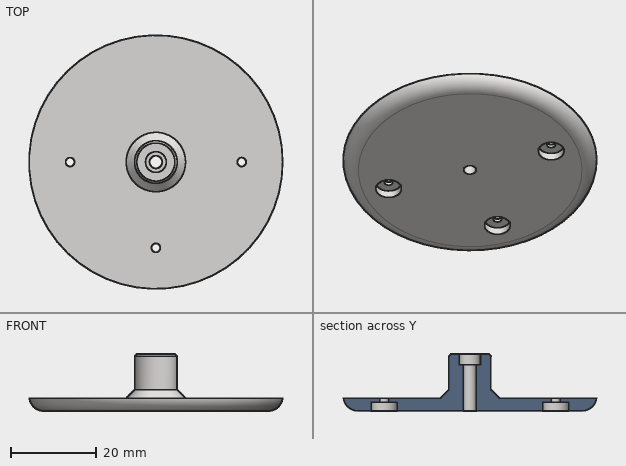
import cadquery as cq
import math

disc_radius = 29.85
disc_thickness = 3.1
edge_radius = 3.6

total_height = 13.5
boss_radius = 10.0 / 2
boss_chamfer = 0.55
foot_radius = 7.0
foot_height = foot_radius - boss_radius

bore_diameter = 2.9
counterbore_diameter = 4.9
counterbore_depth = 2.5

hole_diameter = 2.0
head_recess_diameter = 6.0
hole_web = 1.0
hole_circle_radius = 20.15
hole_angles = (0, 180, 270)


def edge_arc_inset(height):
    """Horizontal distance from the edge arc's centre at a given height."""
    return math.sqrt(edge_radius**2 - (edge_radius - height) ** 2)


def make_body():
    """Revolve the disc, foot and boss; the edge arc meets the underside tangentially."""
    arc_center_radius = disc_radius - edge_arc_inset(disc_thickness)
    arc_middle_height = disc_thickness / 3
    arc_middle_radius = arc_center_radius + edge_arc_inset(arc_middle_height)
    return (
        cq.Workplane("XZ")
        .lineTo(arc_center_radius, 0)
        .threePointArc((arc_middle_radius, arc_middle_height), (disc_radius, disc_thickness))
        .lineTo(foot_radius, disc_thickness)
        .lineTo(boss_radius, disc_thickness + foot_height)
        .lineTo(boss_radius, total_height - boss_chamfer)
        .lineTo(boss_radius - boss_chamfer, total_height)
        .lineTo(0, total_height)
        .close()
        .revolve(360, (0, 0), (0, 1))
    )


def cut_bore(body):
    """Cut the stepped bore down from the top of the boss."""
    return (
        body.faces(">Z")
        .workplane(origin=(0, 0, total_height))
        .cboreHole(bore_diameter, counterbore_diameter, counterbore_depth)
    )


def cut_disc_holes(body):
    """Cut the screw holes and the recesses for their heads."""
    centers = [
        (
            hole_circle_radius * math.cos(math.radians(angle)),
            hole_circle_radius * math.sin(math.radians(angle)),
        )
        for angle in hole_angles
    ]
    holes = cq.Workplane("XY").pushPoints(centers).circle(hole_diameter / 2).extrude(disc_thickness)
    recesses = (
        cq.Workplane("XY")
        .pushPoints(centers)
        .circle(head_recess_diameter / 2)
        .extrude(disc_thickness - hole_web)
    )
    return body.cut(holes).cut(recesses)


result = cut_disc_holes(cut_bore(make_body()))